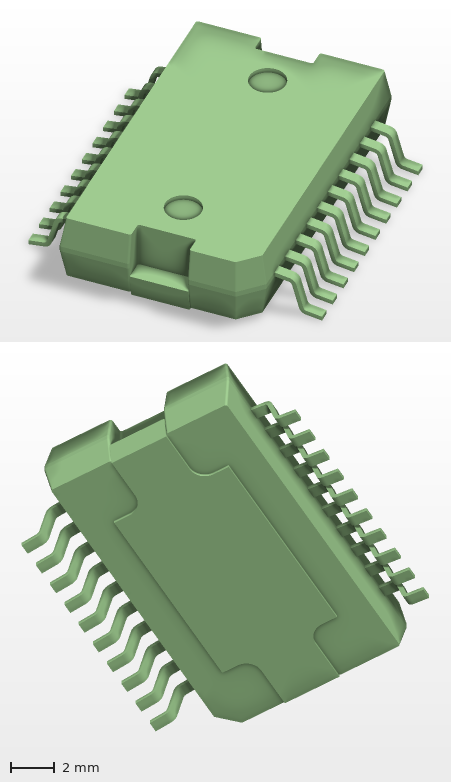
import cadquery as cq
import math

top_z = 3.65
half_height = 1.54
band_height = 0.27
band_top_z = top_z - half_height
band_bottom_z = band_top_z - band_height
slug_bottom_z = 0.15
slug_top_z = 1.35

length_y = 16.0
width_x = 9.8
draft_inset = 0.24
draft_angle = math.degrees(math.atan(draft_inset / half_height))
corner_radius = 0.11
index_chamfer = 1.07

tab_width = 2.88
notch_floor_y = 6.93

mark_diameter = 1.8
mark_offset_y = 5.0
mark_depth = 0.25

pad_width = 6.06
pad_length = 9.66
slug_corner_radius = 0.8

leads_per_side = 10
lead_row_length = 11.44
lead_width = 0.53
lead_thickness = 0.22
lead_span = 14.5
foot_angle = 8.0
shank_angle = 74.4
foot_reach = 0.98
shank_run = 0.45
lead_embed = 0.16
bend_inner_radius = 0.2


def tapered_half(start_z, height):
    """Block that starts at full plan size and narrows upwards, or downwards if height is negative."""
    return (
        cq.Workplane("XY", origin=(0, 0, start_z))
        .polyline(housing_outline())
        .close()
        .extrude(height, taper=draft_angle)
    )


def housing_outline():
    """Plan of the housing at the band: a rectangle with one corner cut off."""
    half_x = width_x / 2
    half_y = length_y / 2
    return [
        (-half_x, -half_y),
        (half_x - index_chamfer, -half_y),
        (half_x, -half_y + index_chamfer),
        (half_x, half_y),
        (-half_x, half_y),
    ]


def make_slug_prism():
    """Heat slug with upright walls: a wide pad with a tab running to each end."""
    pad_x = pad_width / 2
    pad_y = pad_length / 2
    tab_x = tab_width / 2
    end_y = length_y / 2
    arc_x = tab_x + slug_corner_radius
    arc_y = pad_y + slug_corner_radius
    quarter = (
        cq.Workplane("XY", origin=(0, 0, slug_bottom_z))
        .lineTo(pad_x, 0)
        .lineTo(pad_x, pad_y)
        .lineTo(arc_x, pad_y)
        .radiusArc((tab_x, arc_y), slug_corner_radius)
        .lineTo(tab_x, end_y)
        .lineTo(0, end_y)
        .close()
        .extrude(slug_top_z - slug_bottom_z)
    )
    half = quarter.union(quarter.mirror("YZ"))
    return half.union(half.mirror("XZ")).clean()


def make_slug():
    """Heat slug whose tab ends lean in with the lower half of the housing."""
    envelope = tapered_half(band_bottom_z, slug_bottom_z - band_bottom_z)
    return make_slug_prism().intersect(envelope)


def make_shell():
    """Tapered housing block with a notch in each end and rounded upright edges."""
    band = (
        cq.Workplane("XY", origin=(0, 0, band_bottom_z))
        .polyline(housing_outline())
        .close()
        .extrude(band_height)
    )
    shell = band.union(tapered_half(band_top_z, half_height))
    shell = shell.union(tapered_half(band_bottom_z, -half_height))
    notch_depth = length_y / 2 - notch_floor_y
    notches = (
        cq.Workplane("XY")
        .pushPoints([(0, side * (notch_floor_y + notch_depth / 2)) for side in (-1, 1)])
        .rect(tab_width, notch_depth)
        .extrude(top_z)
    )
    upright_edges = "not(#Z)"
    return shell.cut(notches).edges(upright_edges).fillet(corner_radius)


def lead_outline():
    """Side profile of the lead on the -X side, as mitred corners in X and Z."""
    slope = math.tan(math.radians(foot_angle))
    end_lift = lead_thickness / 2 / math.cos(math.radians(foot_angle))
    tip_x = -lead_span / 2
    low_x = tip_x + foot_reach
    low_z = end_lift + foot_reach * slope
    high_x = low_x + shank_run
    high_z = low_z + shank_run * math.tan(math.radians(shank_angle))
    root_x = -width_x / 2 + lead_embed
    root_z = high_z + (root_x - high_x) * slope

    half_turn = math.radians(shank_angle - foot_angle) / 2
    mitre_angle = math.radians(shank_angle + foot_angle) / 2
    mitre = lead_thickness / 2 / math.cos(half_turn)
    mitre_x = -mitre * math.sin(mitre_angle)
    mitre_z = mitre * math.cos(mitre_angle)
    return [
        (tip_x, 0),
        (low_x - mitre_x, low_z - mitre_z),
        (high_x - mitre_x, high_z - mitre_z),
        (root_x, root_z - end_lift),
        (root_x, root_z + end_lift),
        (high_x + mitre_x, high_z + mitre_z),
        (low_x + mitre_x, low_z + mitre_z),
        (tip_x, 2 * end_lift),
    ]


def make_lead():
    """One gull-wing lead on the -X side, centred on Y = 0."""
    points = lead_outline()
    lower_outer, upper_inner, upper_outer, lower_inner = points[1], points[2], points[5], points[6]
    bend_outer_radius = bend_inner_radius + lead_thickness
    lead = cq.Workplane("XZ").polyline(points).close().extrude(lead_width / 2, both=True)
    bends = [
        (lower_outer, bend_outer_radius),
        (upper_outer, bend_outer_radius),
        (lower_inner, bend_inner_radius),
        (upper_inner, bend_inner_radius),
    ]
    for (x, z), radius in bends:
        lead = lead.edges(cq.NearestToPointSelector((x, 0, z))).fillet(radius)
    return lead


def make_housing():
    """Moulded housing with its leads, hollowed to take the heat slug."""
    marks = (
        cq.Workplane("XY", origin=(0, 0, top_z - mark_depth))
        .pushPoints([(0, -mark_offset_y), (0, mark_offset_y)])
        .circle(mark_diameter / 2)
        .extrude(mark_depth)
    )
    housing = make_shell().cut(marks).cut(make_slug_prism())
    lead_pitch = lead_row_length / (leads_per_side - 1)
    left_lead = make_lead()
    right_lead = left_lead.mirror("YZ")
    for index in range(leads_per_side):
        y = index * lead_pitch - lead_row_length / 2
        housing = housing.union(left_lead.translate((0, y, 0)))
        housing = housing.union(right_lead.translate((0, y, 0)))
    return housing


housing = make_housing()
slug = make_slug()
result = cq.Compound.makeCompound([housing.solids().val(), slug.solids().val()])